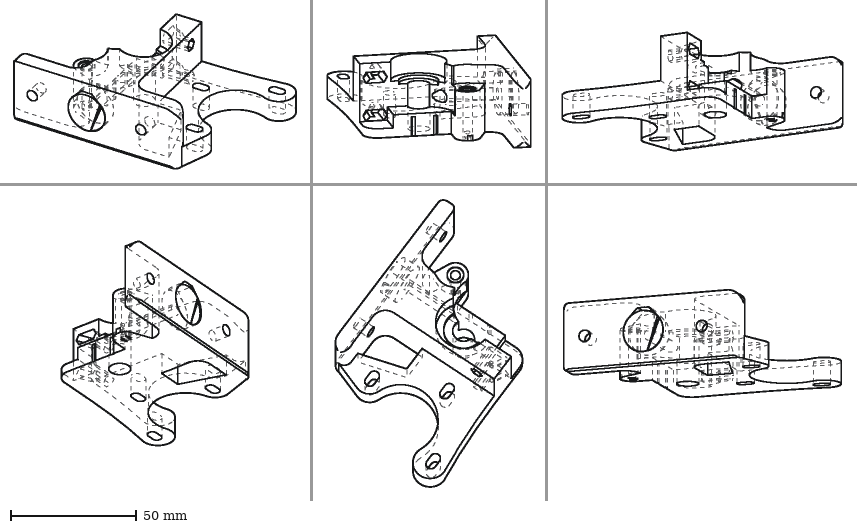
import cadquery as cq
import math

height = 28.0
arm_height = 9.35

plate_length = 76.9
plate_thickness = 7.0
plate_edge_radius = 3.4
plate_corner_radius = 6.0
edge_chamfer_depth = 0.5
edge_chamfer_height = 1.0
mount_hole_diameter = 4.7
mount_hole_spacing = 50.1
nozzle_x = 35.0
nozzle_z = height / 2

block_left = 28.6
block_right = 52.4
block_end = 62.0
block_radius = 6.0

bore_x = 39.6
bore_y = 38.1
bore_diameter = 8.8
bearing_diameter = 22.4
bearing_floor = 20.0
shoulder_diameter = 16.0
shoulder_floor = 18.6

idler_x = 26.4
idler_diameter = 23.8
wall_x = 40.6
pad_start = 27.3
step_y = 50.7
step_height = 3.9

groove_near = 3.7
groove_bottom = 4.9
groove_far = 5.4
groove_depth = 0.5
groove_height = 8.0

hinge_x = 22.4
hinge_y = 21.8
hinge_diameter = 10.4
hinge_top = 20.3
hinge_hole_diameter = 3.9
hinge_seat_diameter = 6.6
hinge_seat_depth = 0.6
hinge_foot_y = 13.3
hinge_bar_width = 2.0
hinge_bar_height = 2.1
relief_diameter = 16.8
relief_blend_radius = 9.7
relief_wall_x = 29.7

hex_y = 53.4
hex_corners = 5.2
hex_levels = (6.2, 21.9)
hex_mouth_shift = 4.7
hex_inner_shift = 1.85
hex_slant_depth = 5.8

plug_diameter = 16.8
plug_clearance = 0.1
plug_roof = 9.6
flat_foot_angle = -78.0
flat_steps = ((43.0, 0.3), (36.0, 0.6))
filament_diameter = 4.5
filament_roof = 2.6

motor_x = 82.5
motor_y = 37.6
motor_radius = 15.2
tip_x = 90.5
tip_y = 57.7
tip_radius = 6.9
foot_x = 75.6
foot_y = 17.4
foot_radius = 6.0
window_y = 26.8
window_x = 63.1
brace_x = 69.0
brace_end_y = 3.3
slot_length = 7.0
slot_width = 4.1
slot_centers = ((89.3, 58.3), (61.6, 45.5), (74.5, 17.9))


def cylinder_z(x, y, diameter, bottom, top):
    """Upright cylinder between two heights."""
    return cq.Workplane("XY", origin=(x, y, bottom)).circle(diameter / 2).extrude(top - bottom)


def box_between(x, y, z):
    """Box from three (low, high) pairs."""
    size = [high - low for low, high in (x, y, z)]
    return cq.Workplane("XY", origin=(x[0], y[0], z[0])).box(*size, centered=False)


def point_on(x, y, radius, angle):
    """Point on a circle at an angle in radians."""
    return x + radius * math.cos(angle), y + radius * math.sin(angle)


def teardrop_y(x, z, diameter, roof, start, end):
    """Bore along Y with 45 degree flanks and a flat roof at the given height over its axis."""
    radius = diameter / 2
    flank = radius * math.sqrt(0.5)
    roof_half = 2 * flank - roof
    return (
        cq.Workplane("XZ", origin=(x, start, z))
        .moveTo(-flank, flank)
        .threePointArc((0, -radius), (flank, flank))
        .lineTo(roof_half, roof)
        .lineTo(-roof_half, roof)
        .close()
        .extrude(start - end)
    )


def make_plate():
    ends = (
        cq.Workplane("XY", origin=(plate_length / 2, plate_thickness / 2, 0))
        .slot2D(plate_length, plate_thickness)
        .extrude(height)
    )
    profile = (
        cq.Workplane("XZ", origin=(0, plate_thickness, 0))
        .rect(plate_length, height, centered=False)
        .extrude(plate_thickness)
        .edges("|Y and <X")
        .fillet(plate_edge_radius)
        .edges("|Y and >X and >Z")
        .fillet(plate_corner_radius)
    )
    chamfer = (
        cq.Workplane("YZ")
        .polyline([(0, 0), (edge_chamfer_depth, 0), (0, edge_chamfer_height)])
        .close()
        .extrude(plate_length)
    )
    return ends.intersect(profile).cut(chamfer)


def make_block():
    block = box_between((block_left, block_right), (0.5 * plate_thickness, block_end), (0, height))
    block = block.edges("|Z and <X and >Y").fillet(block_radius)
    for x, side in ((block_left, -1), (block_right, 1)):
        top = plate_thickness + block_radius
        web = (
            cq.Workplane("XY")
            .moveTo(x, plate_thickness)
            .lineTo(x + side * block_radius, plate_thickness)
            .radiusArc((x, top), side * block_radius)
            .close()
            .extrude(height)
        )
        block = block.union(web)
    return block


def make_hinge():
    radius = hinge_diameter / 2
    run_x = block_left - hinge_x
    run_y = hinge_foot_y - hinge_y
    tangent_angle = math.atan2(run_y, run_x) - math.acos(radius / math.hypot(run_x, run_y))
    middle_angle = (math.pi / 2 + tangent_angle + 2 * math.pi) / 2
    return (
        cq.Workplane("XY")
        .moveTo(wall_x, pad_start)
        .lineTo(hinge_x, hinge_y + radius)
        .threePointArc(
            point_on(hinge_x, hinge_y, radius, middle_angle),
            point_on(hinge_x, hinge_y, radius, tangent_angle),
        )
        .lineTo(block_left, hinge_foot_y)
        .lineTo(wall_x, hinge_foot_y)
        .close()
        .extrude(hinge_top)
    )


def make_arm():
    tip_top = tip_y + tip_radius
    edge_run = tip_x - block_right
    edge_rise = tip_top - block_end
    edge_radius = (edge_run**2 + edge_rise**2) / (2 * edge_rise)
    edge_middle = edge_radius - math.sqrt(edge_radius**2 - (edge_run / 2) ** 2)

    tip_angle = math.atan2(tip_y - motor_y, tip_x - motor_x)
    foot_angle = math.atan2(foot_y - motor_y, foot_x - motor_x) + 2 * math.pi
    brace_run = plate_length - foot_x
    brace_drop = brace_end_y - foot_y
    brace_angle = math.atan2(brace_drop, brace_run)
    brace_angle += math.acos(foot_radius / math.hypot(brace_run, brace_drop))
    foot_start = foot_angle - math.pi

    arm = (
        cq.Workplane("XY")
        .moveTo(block_right, block_end)
        .threePointArc(
            (block_right + edge_run / 2, block_end + edge_middle),
            (tip_x, tip_top),
        )
        .threePointArc(
            (tip_x + tip_radius, tip_y),
            point_on(tip_x, tip_y, tip_radius, tip_angle - math.pi),
        )
        .threePointArc(
            (motor_x - motor_radius, motor_y),
            point_on(motor_x, motor_y, motor_radius, foot_angle),
        )
        .threePointArc(
            point_on(foot_x, foot_y, foot_radius, (foot_start + brace_angle) / 2),
            point_on(foot_x, foot_y, foot_radius, brace_angle),
        )
        .lineTo(plate_length, brace_end_y)
        .lineTo(brace_x, brace_end_y)
        .lineTo(brace_x, plate_thickness)
        .lineTo(window_x, window_y)
        .lineTo(block_right, window_y)
        .close()
        .extrude(arm_height)
    )
    slots = cq.Workplane("XY").pushPoints(slot_centers).slot2D(slot_length, slot_width).extrude(arm_height)
    return arm.cut(slots)


def idler_space():
    """Everything left of the wall above the pad, and above the step at its far end."""
    space = cylinder_z(idler_x, bore_y, idler_diameter, arm_height, height)
    space = space.union(box_between((0, wall_x), (bore_y, block_end), (arm_height, height)))
    return space.union(box_between((0, wall_x), (step_y, block_end), (step_height, height)))


def shaft_bore():
    bore = cylinder_z(bore_x, bore_y, bore_diameter, 0, height)
    bore = bore.union(cylinder_z(bore_x, bore_y, shoulder_diameter, shoulder_floor, height))
    return bore.union(cylinder_z(bore_x, bore_y, bearing_diameter, bearing_floor, height))


def side_groove(side):
    """Lopsided V groove up the left face, on the +Y (1) or -Y (-1) side of the bore."""
    return (
        cq.Workplane("XY")
        .moveTo(block_left, bore_y + side * groove_near)
        .lineTo(block_left + groove_depth, bore_y + side * groove_bottom)
        .lineTo(block_left, bore_y + side * groove_far)
        .close()
        .extrude(groove_height)
    )


def hinge_relief():
    """Round clearance over the boss, blended into the left face and opening into the idler space."""
    radius = relief_diameter / 2
    blend_x = block_left + relief_blend_radius
    run = blend_x - hinge_x
    drop = math.sqrt((radius + relief_blend_radius) ** 2 - run**2)
    blend_y = hinge_y - drop
    blend = (
        cq.Workplane("XY", origin=(0, 0, hinge_top))
        .moveTo(hinge_x, hinge_y)
        .lineTo(hinge_x, blend_y)
        .lineTo(block_left, blend_y)
        .radiusArc(point_on(hinge_x, hinge_y, radius, -math.atan2(drop, run)), relief_blend_radius)
        .close()
        .extrude(height - hinge_top)
    )
    opening = box_between((hinge_x, relief_wall_x), (hinge_y, pad_start), (hinge_top, height))
    return blend.union(opening).union(cylinder_z(hinge_x, hinge_y, relief_diameter, hinge_top, height))


def hinge_hole():
    """Hole through the boss with a shallow screw seat."""
    hole = cylinder_z(hinge_x, hinge_y, hinge_hole_diameter, 0, hinge_top)
    seat = cylinder_z(hinge_x, hinge_y, hinge_seat_diameter, hinge_top - hinge_seat_depth, hinge_top)
    return hole.union(seat)


def hinge_bar():
    """Thin bar across the lower end of the hinge hole, ending level with the side of the boss."""
    half_width = hinge_bar_width / 2
    return box_between(
        (hinge_x - hinge_diameter / 2, hinge_x + hinge_diameter / 2),
        (hinge_y - half_width, hinge_y + half_width),
        (0, hinge_bar_height),
    )


def stretched_hexagon(x, z, stretch):
    """Hexagon across X, its +Y end moved outward by the stretch."""
    points = []
    for step in range(6):
        y_offset, z_offset = point_on(0, 0, hex_corners / 2, step * math.pi / 3)
        if step in (0, 1, 5):
            y_offset += stretch
        points.append((hex_y + y_offset, z + z_offset))
    return cq.Workplane("YZ", origin=(x, 0, 0)).polyline(points).close()


def hex_passage(z):
    """Hexagonal hole through the wall with a mouth that widens toward +Y."""
    straight = stretched_hexagon(wall_x, z, 0).extrude(block_right - wall_x)
    inner = stretched_hexagon(wall_x + hex_slant_depth, z, hex_inner_shift).wires().val()
    mouth = stretched_hexagon(wall_x, z, hex_mouth_shift).wires().val()
    return straight.union(cq.Workplane(cq.Solid.makeLoft([mouth, inner], True)))


def mount_holes():
    return (
        cq.Workplane("XZ", origin=(nozzle_x, 0, nozzle_z))
        .pushPoints([(-mount_hole_spacing / 2, 0), (mount_hole_spacing / 2, 0)])
        .circle(mount_hole_diameter / 2)
        .extrude(-plate_thickness - block_radius)
    )


def plug_gap():
    """Gap between the teardrop socket and the round plug that fills it."""
    socket_diameter = plug_diameter + 2 * plug_clearance
    socket = teardrop_y(nozzle_x, nozzle_z, socket_diameter, plug_roof, 0, plate_thickness)
    plug = (
        cq.Workplane("XZ", origin=(nozzle_x, 0, nozzle_z))
        .circle(plug_diameter / 2)
        .extrude(-plate_thickness)
    )
    return socket.cut(plug)


def plug_flat(top_angle, depth):
    """Shallow segment cut from the face of the plug, beside a chord up from its lower edge."""
    radius = plug_diameter / 2
    middle_angle = (flat_foot_angle + top_angle) / 2
    corners = [math.radians(angle) for angle in (flat_foot_angle, middle_angle, top_angle)]
    foot, middle, top = [point_on(0, 0, radius, angle) for angle in corners]
    return (
        cq.Workplane("XZ", origin=(nozzle_x, 0, nozzle_z))
        .moveTo(*foot)
        .threePointArc(middle, top)
        .close()
        .extrude(-depth)
    )


filament_hole = teardrop_y(
    nozzle_x, nozzle_z, filament_diameter, filament_roof, plate_thickness, bore_y - bore_diameter / 2
)

body = make_plate().union(make_block()).union(make_hinge())
cuts = [idler_space(), shaft_bore(), hinge_relief(), hinge_hole(), mount_holes(), plug_gap(), filament_hole]
cuts += [side_groove(side) for side in (1, -1)]
cuts += [hex_passage(z) for z in hex_levels]
cuts += [plug_flat(angle, depth) for angle, depth in flat_steps]
for cut in cuts:
    body = body.cut(cut)

result = body.union(hinge_bar()).union(make_arm())